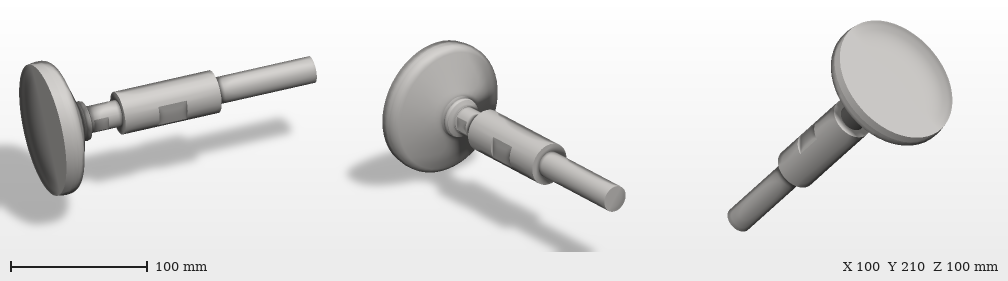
import cadquery as cq

total_length = 210.0

pad_diameter = 100.0
pad_base_radius = 49.1
rim_radius = pad_diameter / 2
rim_height = 5.9
shoulder_radius = 49.8
shoulder_height = 8.8
shoulder_mid_radius = 48.5
shoulder_mid_height = 13.0
cone_base_radius = 44.7
cone_base_height = 15.8
cone_top_radius = 15.5
cone_top_height = 27.3

collar_edge_radius = 14.3
collar_bulge_radius = 15.0
collar_bottom_height = 28.5
collar_top_height = 33.2
collar_mid_height = (collar_bottom_height + collar_top_height) / 2
bevel_top_height = 35.0
collar_lip_radius = 10.3
land_width = 0.6

spindle_diameter = 20.0
spindle_flat_width = 17.0
spindle_flat_start = 36.8
spindle_flat_length = 11.3

sleeve_diameter = 32.0
sleeve_start = 58.5
sleeve_length = 75.0
sleeve_flat_width = 27.3
sleeve_flat_length = 22.0
sleeve_flat_start = sleeve_start + (sleeve_length - sleeve_flat_length) / 2


def cylinder(diameter, start, length):
    """Solid cylinder on the Y axis."""
    return cq.Workplane("XZ", origin=(0, start, 0)).circle(diameter / 2).extrude(-length)


def cut_wrench_flats(body, diameter, across_flats, start, length):
    """Cut two opposite flats, facing -X and +X, into a round body."""
    core = cq.Workplane("XY").box(across_flats, length, diameter)
    flats = cq.Workplane("XY").box(2 * diameter, length, diameter).cut(core)
    return body.cut(flats.translate((0, start + length / 2, 0)))


def make_foot():
    """Pad, collar and spindle, turned as one profile, with wrench flats on the spindle."""
    foot = (
        cq.Workplane("XY")
        .lineTo(pad_base_radius, 0)
        .lineTo(rim_radius, rim_height)
        .lineTo(shoulder_radius, shoulder_height)
        .threePointArc((shoulder_mid_radius, shoulder_mid_height), (cone_base_radius, cone_base_height))
        .lineTo(cone_top_radius, cone_top_height)
        .lineTo(collar_edge_radius, collar_bottom_height)
        .lineTo(collar_edge_radius, collar_bottom_height + land_width)
        .threePointArc(
            (collar_bulge_radius, collar_mid_height),
            (collar_edge_radius, collar_top_height - land_width),
        )
        .lineTo(collar_edge_radius, collar_top_height)
        .lineTo(collar_lip_radius, bevel_top_height)
        .lineTo(collar_lip_radius, bevel_top_height + land_width)
        .lineTo(spindle_diameter / 2, bevel_top_height + land_width)
        .lineTo(spindle_diameter / 2, total_length)
        .lineTo(0, total_length)
        .close()
        .revolve(360, (0, 0, 0), (0, 1, 0))
    )
    return cut_wrench_flats(
        foot, spindle_diameter, spindle_flat_width, spindle_flat_start, spindle_flat_length
    )


def make_sleeve():
    """Round sleeve with wrench flats at mid length, bored to fit the spindle."""
    sleeve = cylinder(sleeve_diameter, sleeve_start, sleeve_length)
    sleeve = cut_wrench_flats(
        sleeve, sleeve_diameter, sleeve_flat_width, sleeve_flat_start, sleeve_flat_length
    )
    return sleeve.cut(cylinder(spindle_diameter, sleeve_start, sleeve_length))


foot = make_foot()
sleeve = make_sleeve()

result = cq.Compound.makeCompound([*foot.solids().vals(), *sleeve.solids().vals()])